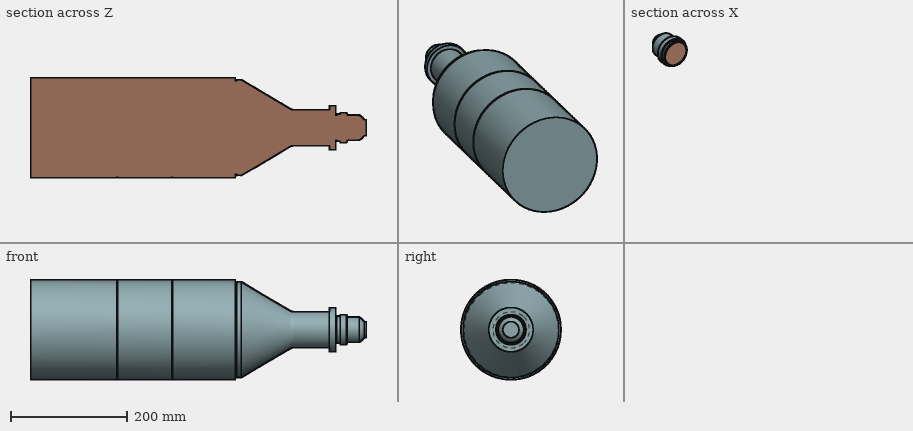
import cadquery as cq

total_length = 578.0
body_diameter = 173.0
body_radius = body_diameter / 2
body_end = 352.5

joint_positions = (148.5, 242.5)
joint_width = 2.0
joint_depth = 0.3

shoulder_radius = 82.5
shoulder_neck_radius = 81.0
shoulder_neck_length = 2.5
cone_start = 363.0
cone_end = 449.5
cone_blend_radius = 10.0

neck_radius = 31.0
flange_start = 514.5
flange_end = 525.5
flange_radius = 38.0

spigot_groove_end = 527.0
spigot_groove_radius = 22.0
spigot_radius = 23.5
bead_start = 533.0
bead_end = 545.0
bead_radius = 26.0
bead_chamfer = 2.0
nose_radius = 22.0
nose_start = 566.0
nose_middle = (570.5, 18.5)
tip_start = 574.5
tip_radius = 14.0


def make_blank():
    """Revolve the half outline, given as (position along X, radius)."""
    return (
        cq.Workplane("XY")
        .lineTo(0, body_radius)
        .lineTo(body_end, body_radius)
        .lineTo(body_end, shoulder_neck_radius)
        .lineTo(body_end + shoulder_neck_length, shoulder_neck_radius)
        .lineTo(body_end + shoulder_neck_length, shoulder_radius)
        .lineTo(cone_start, shoulder_radius)
        .lineTo(cone_end, neck_radius)
        .lineTo(flange_start, neck_radius)
        .lineTo(flange_start, flange_radius)
        .lineTo(flange_end, flange_radius)
        .lineTo(flange_end, spigot_groove_radius)
        .lineTo(spigot_groove_end, spigot_groove_radius)
        .lineTo(spigot_groove_end, spigot_radius)
        .lineTo(bead_start, spigot_radius)
        .lineTo(bead_start, bead_radius)
        .lineTo(bead_end - bead_chamfer, bead_radius)
        .lineTo(bead_end, bead_radius - bead_chamfer)
        .lineTo(bead_end, nose_radius)
        .lineTo(nose_start, nose_radius)
        .threePointArc(nose_middle, (tip_start, tip_radius))
        .lineTo(total_length, tip_radius)
        .lineTo(total_length, 0)
        .close()
        .revolve(360, (0, 0, 0), (1, 0, 0))
    )


def blend_cone_into_neck(blank):
    """Fillet the circular edge where the cone meets the neck."""
    meeting_edge = cq.selectors.NearestToPointSelector((cone_end, 0, 0))
    return blank.edges(meeting_edge).fillet(cone_blend_radius)


def joint_groove(start):
    """Ring of material to remove at one body joint."""
    return (
        cq.Workplane("YZ", origin=(start, 0, 0))
        .circle(body_radius + joint_depth)
        .circle(body_radius - joint_depth)
        .extrude(joint_width)
    )


result = blend_cone_into_neck(make_blank())
for position in joint_positions:
    result = result.cut(joint_groove(position))